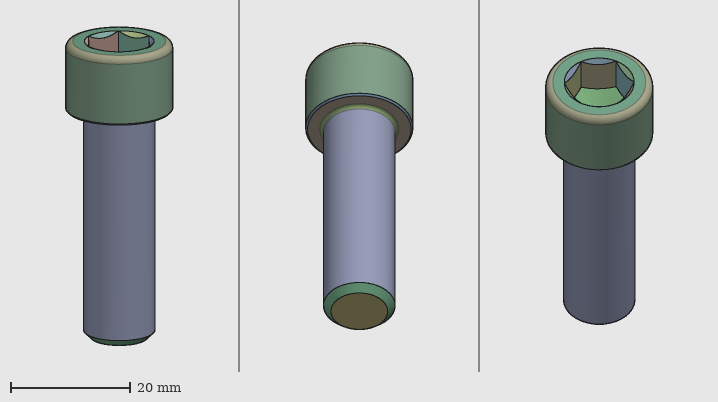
import cadquery as cq
import math

total_length = 52.0
head_diameter = 18.0
shank_diameter = 12.0
head_height = shank_diameter
shank_length = total_length - head_height

head_top_round = 1.2
head_bottom_chamfer = 0.3
neck_fillet = 0.6
shank_end_chamfer = 1.25

socket_across_flats = 10.15
socket_across_corners = socket_across_flats / math.cos(math.pi / 6)
socket_depth = 6.0
floor_flat_diameter = 1.7
floor_slope = math.radians(30)
mouth_slope = math.radians(45)


def cone_below(z_top, slope, tip_radius):
    """Cone narrowing downwards from the socket corners to a flat tip."""
    top_radius = socket_across_corners / 2
    depth = (top_radius - tip_radius) * math.tan(slope)
    profile = [(0, z_top), (top_radius, z_top), (tip_radius, z_top - depth)]
    if tip_radius > 0:
        profile.append((0, z_top - depth))
    return cq.Workplane("XZ").polyline(profile).close().revolve(360, (0, 0), (0, 1))


def make_screw_body():
    """Head and shank as one turned solid."""
    head_radius = head_diameter / 2
    shank_radius = shank_diameter / 2
    arc_drop = 1 - math.sqrt(0.5)
    profile = (
        cq.Workplane("XZ")
        .moveTo(0, head_height)
        .lineTo(head_radius - head_top_round, head_height)
        .threePointArc(
            (head_radius - arc_drop * head_top_round, head_height - arc_drop * head_top_round),
            (head_radius, head_height - head_top_round),
        )
        .lineTo(head_radius, head_bottom_chamfer)
        .lineTo(head_radius - head_bottom_chamfer, 0)
        .lineTo(shank_radius + neck_fillet, 0)
        .threePointArc(
            (shank_radius + arc_drop * neck_fillet, -arc_drop * neck_fillet),
            (shank_radius, -neck_fillet),
        )
        .lineTo(shank_radius, shank_end_chamfer - shank_length)
        .lineTo(shank_radius - shank_end_chamfer, -shank_length)
        .lineTo(0, -shank_length)
        .close()
    )
    return profile.revolve(360, (0, 0), (0, 1))


def make_socket():
    """Hexagonal socket, with two corners on the X axis, as a solid to remove."""
    floor_z = head_height - socket_depth
    hexagon = (
        cq.Workplane("XY")
        .workplane(offset=floor_z)
        .polygon(6, socket_across_corners)
        .extrude(socket_depth)
    )
    floor_overlap = socket_across_corners / 2 * math.tan(floor_slope)
    floor_prism = (
        cq.Workplane("XY")
        .workplane(offset=floor_z)
        .polygon(6, socket_across_corners)
        .extrude(-floor_overlap)
    )
    floor = cone_below(floor_z, floor_slope, floor_flat_diameter / 2).intersect(floor_prism)
    mouth = cone_below(head_height, mouth_slope, 0)
    return hexagon.union(floor).union(mouth)


result = make_screw_body().cut(make_socket())